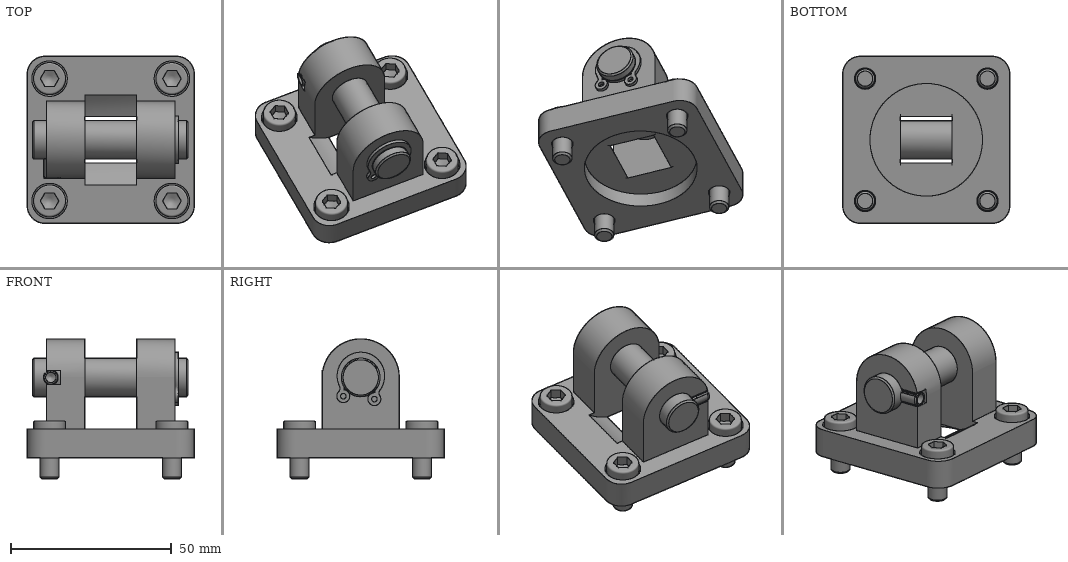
import cadquery as cq
import math


plate_side = 52.0
plate_thickness = 9.0
plate_corner_radius = 5.6
locating_recess_diameter = 35.0
locating_recess_depth = 5.0

lug_width = 24.0
lug_outer_span = 40.0
lug_gap = 16.0
lug_thickness = (lug_outer_span - lug_gap) / 2
lug_outer_x = lug_outer_span / 2
axis_above_plate = 16.0
axis_height = plate_thickness + axis_above_plate
swing_relief_radius = 21.25

pin_diameter = 12.0
pin_left_end = -24.4
pin_right_end = 24.0
pin_chamfer = 0.5

ring_groove_diameter = 11.5
ring_groove_width = 1.1
ring_thickness = 1.0
ring_outer_radius = 7.4
ring_eccentricity = 0.45
ring_turn = 5.4
ear_diameter = 4.0
ear_radius = ear_diameter / 2
ear_hole_diameter = 1.7
ear_orbit_radius = 7.95
ear_half_angle = 37.5
ear_blend_radius = 1.5

lock_slot_size = 4.4
lock_pin_diameter = 4.6
lock_pin_x = -18.6
lock_pin_inner_y = -5.2
lock_pin_length = lug_width / 2 + lock_pin_inner_y
lock_tip_length = 0.6
lock_tip_inset = 0.2
lock_bore_diameter = 3.2
lock_bore_depth = 4.15
lock_bore_cone_depth = 0.95
lock_slit_width = 0.6
lock_slit_angle = 45

bolt_spacing = 38.0
bolt_diameter = 6.0
bolt_head_diameter = 10.0
bolt_head_height = 6.0
bolt_head_standout = 2.5
bolt_tip_below_plate = 6.5
bolt_head_fillet = 0.55
bolt_tip_chamfer = 0.6
bolt_hole_diameter = 6.6
counterbore_diameter = 11.0
hex_across_flats = 5.0
hex_depth = 3.0
hex_cone_depth = 1.3

bolt_seat_height = plate_thickness + bolt_head_standout - bolt_head_height
bolt_head_top = plate_thickness + bolt_head_standout


def rod_along_x(diameter, start, end):
    """Solid rod on the pivot axis between two X positions."""
    plane = cq.Workplane("YZ", origin=(start, 0, axis_height))
    return plane.circle(diameter / 2).extrude(end - start)


def bolt_points(height):
    """Workplane with the four bolt centres selected at the given height."""
    plane = cq.Workplane("XY", origin=(0, 0, height))
    return plane.rect(bolt_spacing, bolt_spacing, forConstruction=True).vertices()


def make_plate():
    plate = cq.Workplane("XY").rect(plate_side, plate_side).extrude(plate_thickness)
    plate = plate.edges("|Z").fillet(plate_corner_radius)
    recess = cq.Workplane("XY").circle(locating_recess_diameter / 2).extrude(locating_recess_depth)
    relief = rod_along_x(2 * swing_relief_radius, -lug_gap / 2, lug_gap / 2)
    holes = bolt_points(0).circle(bolt_hole_diameter / 2).extrude(plate_thickness)
    counterbores = bolt_points(bolt_seat_height).circle(counterbore_diameter / 2).extrude(plate_thickness)
    return plate.cut(recess).cut(relief).cut(holes).cut(counterbores)


def make_lug(start):
    half_width = lug_width / 2
    plane = cq.Workplane("YZ", origin=(start, 0, plate_thickness))
    return (
        plane.moveTo(-half_width, 0)
        .lineTo(-half_width, axis_above_plate)
        .threePointArc((0, axis_above_plate + half_width), (half_width, axis_above_plate))
        .lineTo(half_width, 0)
        .close()
        .extrude(lug_thickness)
    )


def make_pivot_pin():
    pin = rod_along_x(pin_diameter, pin_left_end, pin_right_end).faces("<X or >X").chamfer(pin_chamfer)
    groove_end = lug_outer_x + ring_groove_width
    groove = rod_along_x(pin_diameter, lug_outer_x, groove_end)
    groove = groove.cut(rod_along_x(ring_groove_diameter, lug_outer_x, groove_end))
    return pin.cut(groove)


def make_retaining_ring():
    """Open ring, thickest at the top, with a pierced round ear at each end of its opening."""
    plane = cq.Workplane("YZ", origin=(lug_outer_x, 0, axis_height))
    ear_y = ear_orbit_radius * math.sin(math.radians(ear_half_angle))
    ear_z = -ear_orbit_radius * math.cos(math.radians(ear_half_angle))
    ear_centres = [(-ear_y, ear_z), (ear_y, ear_z)]

    ring = plane.center(0, ring_eccentricity).circle(ring_outer_radius).extrude(ring_thickness)
    for side in (-1, 1):
        ring = ring.union(make_ear_blend(plane, side, ear_y, ear_z))
    bore = plane.circle(ring_groove_diameter / 2).extrude(ring_thickness)
    opening = plane.center(0, -ring_outer_radius).rect(2 * ear_y, ring_outer_radius).extrude(ring_thickness)
    ears = plane.pushPoints(ear_centres).circle(ear_radius).extrude(ring_thickness)
    ear_holes = plane.pushPoints(ear_centres).circle(ear_hole_diameter / 2).extrude(ring_thickness)
    ring = ring.cut(bore).cut(opening).union(ears).cut(ear_holes)
    return ring.rotate((0, 0, axis_height), (1, 0, axis_height), -ring_turn)


def make_ear_blend(plane, side, ear_y, ear_z):
    """Concave blend, tangent to the outside of the ring and of one ear."""
    ring_reach = ring_outer_radius + ear_blend_radius
    ear_reach = ear_radius + ear_blend_radius
    centre_distance = math.hypot(ear_y, ear_z - ring_eccentricity)
    cosine = (ring_reach**2 + centre_distance**2 - ear_reach**2) / (2 * ring_reach * centre_distance)
    blend_angle = math.atan2(ear_z - ring_eccentricity, ear_y) + math.acos(cosine)
    blend_y = ring_reach * math.cos(blend_angle)
    blend_z = ring_eccentricity + ring_reach * math.sin(blend_angle)

    corners = [(0, ring_eccentricity), (side * blend_y, blend_z), (side * ear_y, ear_z)]
    wedge = plane.polyline(corners).close().extrude(ring_thickness)
    hollow = plane.center(side * blend_y, blend_z).circle(ear_blend_radius).extrude(ring_thickness)
    return wedge.cut(hollow)


def make_lock_slot():
    """Square slot in the outer corner of the -X lug, from its -Y side to the pivot pin."""
    slot = cq.Workplane("XY").box(
        lock_slot_size, lock_pin_length, lock_slot_size, centered=(False, False, True)
    )
    return slot.translate((-lug_outer_x, -lug_width / 2, axis_height))


def make_lock_pin():
    """Locking pin with a tapered tip, a drilled end and a slit facing up and outwards."""
    radius = lock_pin_diameter / 2
    bore_radius = lock_bore_diameter / 2
    section = [
        (bore_radius, 0),
        (radius - lock_tip_inset, 0),
        (radius, lock_tip_length),
        (radius, lock_pin_length),
        (0, lock_pin_length),
        (0, lock_bore_depth + lock_bore_cone_depth),
        (bore_radius, lock_bore_depth),
    ]
    pin = cq.Workplane("XY").polyline(section).close().revolve(360, (0, 0, 0), (0, 1, 0))
    slit = cq.Workplane("XY").box(radius, lock_pin_length, lock_slit_width, centered=(False, False, True))
    slit = slit.translate((-radius - bore_radius, 0, 0))
    slit = slit.rotate((0, 0, 0), (0, 1, 0), lock_slit_angle)
    return pin.cut(slit).translate((lock_pin_x, -lug_width / 2, axis_height))


def make_bolt():
    """Socket head bolt on the Z axis, at its final height."""
    head = cq.Workplane("XY", origin=(0, 0, bolt_seat_height)).circle(bolt_head_diameter / 2)
    head = head.extrude(bolt_head_height).faces(">Z").edges().fillet(bolt_head_fillet)
    shank = cq.Workplane("XY", origin=(0, 0, -bolt_tip_below_plate)).circle(bolt_diameter / 2)
    shank = shank.extrude(bolt_tip_below_plate + bolt_seat_height).faces("<Z").chamfer(bolt_tip_chamfer)

    hex_across_corners = hex_across_flats / math.cos(math.pi / 6)
    corner_radius = hex_across_corners / 2
    socket_depth = hex_depth + hex_cone_depth
    hexagon = cq.Workplane("XY").polygon(6, hex_across_corners).extrude(-socket_depth)
    drill_section = [(0, 0), (corner_radius, 0), (corner_radius, -hex_depth), (0, -socket_depth)]
    drill = cq.Workplane("XZ").polyline(drill_section).close().revolve(360, (0, 0, 0), (0, 1, 0))
    socket = hexagon.intersect(drill).translate((0, 0, bolt_head_top))
    return head.union(shank).cut(socket)


result = make_plate()
for lug_start in (-lug_outer_x, lug_gap / 2):
    result = result.union(make_lug(lug_start))
result = result.cut(make_lock_slot())
result = result.union(make_pivot_pin())
result = result.union(make_retaining_ring())
result = result.union(make_lock_pin())

bolt = make_bolt()
for side_x in (-1, 1):
    for side_y in (-1, 1):
        result = result.union(bolt.translate((side_x * bolt_spacing / 2, side_y * bolt_spacing / 2, 0)))